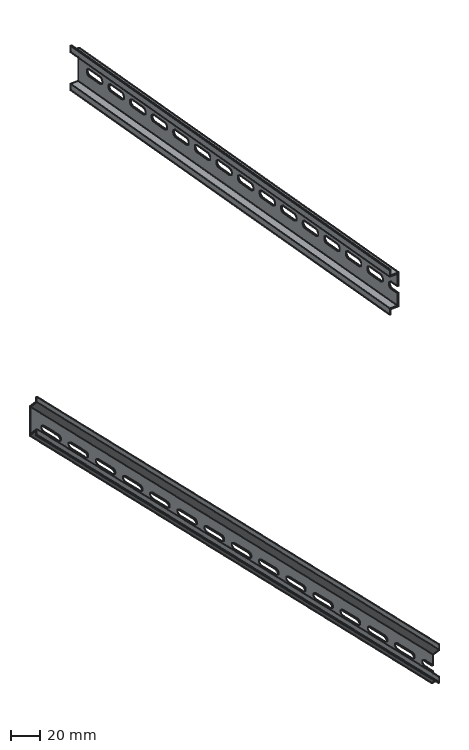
import cadquery as cq

length = 370.0
height = 35.0
depth = 7.5
thickness = 1.0
channel_height = 27.0

slot_count = 15
slot_length = 18.0
slot_width = 5.5
end_margin = 10.0
slot_pitch = (length - 2 * end_margin) / (slot_count - 1)

back_y = depth / 2
front_y = -depth / 2


def make_rail():
    """Extrude the constant top-hat section, web at +Y and flanges at -Y."""
    tip_z = height / 2
    outer_z = channel_height / 2
    inner_z = outer_z - thickness
    upper_half = [
        (back_y, outer_z),
        (front_y + thickness, outer_z),
        (front_y + thickness, tip_z),
        (front_y, tip_z),
        (front_y, inner_z),
        (back_y - thickness, inner_z),
    ]
    lower_half = [(y, -z) for y, z in reversed(upper_half)]
    return (
        cq.Workplane("YZ")
        .polyline(upper_half + lower_half)
        .close()
        .extrude(length / 2, both=True)
    )


def make_slots():
    """Round-ended cutters through the web, at equal pitch along the rail."""
    first_center = -length / 2 + end_margin + slot_length / 2
    centers = [(first_center + i * slot_pitch, 0) for i in range(slot_count)]
    return (
        cq.Workplane("XZ")
        .pushPoints(centers)
        .slot2D(slot_length, slot_width)
        .extrude(depth, both=True)
    )


result = make_rail().cut(make_slots())